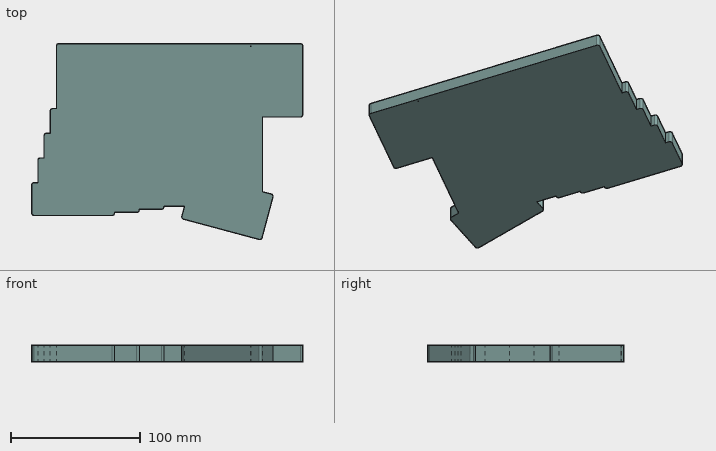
import cadquery as cq

length = 209.27
depth = 151.27
thickness = 12.88

left = -length / 2
right = length / 2
front = -depth / 2
back = depth / 2

key_pitch = 19.05
row_stagger = key_pitch / 4
column_stagger = key_pitch / 8
row_steps = 4
column_steps = 3
corner_radius = 2.0

body_front = -57.1
first_row_back = -31.6
first_column_end = -40.6
body_right = 73.6
arm_front = 18.8

thumb_angle = 15.0
thumb_length = 64.2
thumb_width = 36.4
thumb_right_x = 71.3

pin_hole_diameter = 0.3
pin_hole_x = 64.4
pin_hole_inset = 2.0


def round_corners(solid, corners):
    """Round the upright edges that stand at the given XY corners."""
    for x, y in corners:
        edge_middle = (x, y, thickness / 2)
        solid = solid.edges(cq.selectors.NearestToPointSelector(edge_middle)).fillet(corner_radius)
    return solid


def make_body():
    """Plate with a stepped left side, a stepped front edge and an arm at the back right."""
    outer_corners = [(right, arm_front), (right, back), (left + row_steps * row_stagger, back)]
    outline = [(body_right, arm_front)] + outer_corners

    for step in reversed(range(row_steps)):
        y = first_row_back + step * key_pitch
        outer_corner = (left + step * row_stagger, y)
        outline += [(left + (step + 1) * row_stagger, y), outer_corner]
        outer_corners.append(outer_corner)

    outline.append((left, body_front))
    outer_corners.append((left, body_front))

    for step in range(column_steps):
        x = first_column_end + step * key_pitch
        y = body_front + step * column_stagger
        outline += [(x, y), (x, y + column_stagger)]
        outer_corners.append((x, y))

    outline.append((body_right, body_front + column_steps * column_stagger))
    body = cq.Workplane("XY").polyline(outline).close().extrude(thickness)
    return round_corners(body, outer_corners)


def make_thumb_block():
    """Rounded rectangular block at the front right, turned clockwise."""
    block = (
        cq.Workplane("XY")
        .rect(thumb_length, thumb_width)
        .extrude(thickness)
        .edges("|Z")
        .fillet(corner_radius)
        .translate((corner_radius - thumb_length / 2, thumb_width / 2 - corner_radius, 0))
    )
    turned = block.rotate((0, 0, 0), (0, 0, 1), -thumb_angle)
    return turned.translate((thumb_right_x, front + corner_radius, 0))


def make_pin_hole():
    """Fine through hole close to the back edge."""
    return (
        cq.Workplane("XY")
        .center(pin_hole_x, back - pin_hole_inset)
        .circle(pin_hole_diameter / 2)
        .extrude(thickness)
    )


result = make_body().union(make_thumb_block()).cut(make_pin_hole())